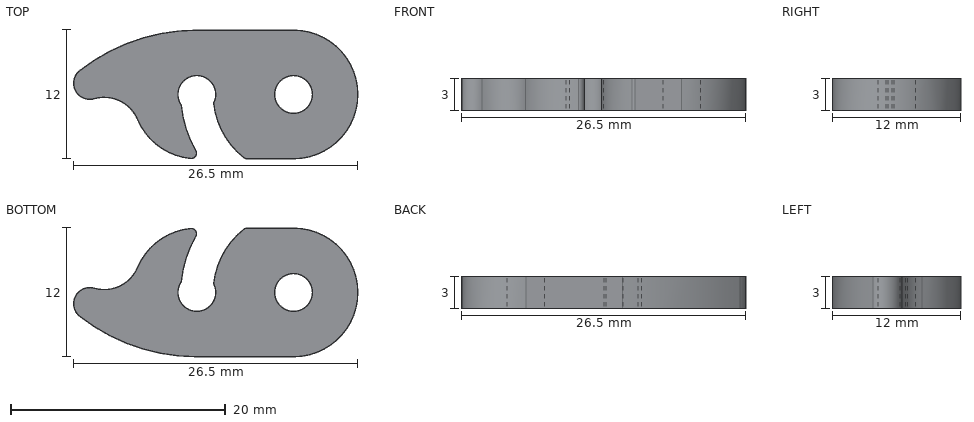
import cadquery as cq
import math

length = 26.5
thickness = 3.0
width = 12.0
end_radius = width / 2
hole_radius = 1.75
seat_distance = 9.0
slot_inner_radius = 7.5
slot_outer_radius = 10.5
back_radius = 17.68
beak_tip_radius = 1.5
throat_radius = 3.37
corner_radius = 0.5


def circle_meeting(center_a, radius_a, center_b, radius_b, side):
    """Meeting point of two circles; side +1 is left of the line from a to b, -1 is right."""
    dx = center_b[0] - center_a[0]
    dy = center_b[1] - center_a[1]
    gap = math.hypot(dx, dy)
    along = (radius_a**2 - radius_b**2 + gap**2) / (2 * gap)
    across = side * math.sqrt(radius_a**2 - along**2)
    return (
        center_a[0] + (along * dx - across * dy) / gap,
        center_a[1] + (along * dy + across * dx) / gap,
    )


def toward(center, target, radius):
    """Point on a circle about center, in the direction of target."""
    dx = target[0] - center[0]
    dy = target[1] - center[1]
    scale = radius / math.hypot(dx, dy)
    return (center[0] + dx * scale, center[1] + dy * scale)


def arc_middle(center, start, end):
    """Middle of the shorter arc about center from start to end."""
    chord_middle = ((start[0] + end[0]) / 2, (start[1] + end[1]) / 2)
    return toward(center, chord_middle, math.dist(center, start))


pivot = (0.0, 0.0)
seat = (-seat_distance, 0.0)
back = (-seat_distance, end_radius - back_radius)
beak_tip_x = end_radius - length + beak_tip_radius
beak_tip_rise = math.sqrt((back_radius - beak_tip_radius)**2 - (beak_tip_x - back[0])**2)
beak_tip = (beak_tip_x, back[1] + beak_tip_rise)
throat = circle_meeting(
    beak_tip, beak_tip_radius + throat_radius, seat, end_radius + throat_radius, -1
)
fang_tip = circle_meeting(
    pivot, slot_outer_radius + corner_radius, seat, end_radius - corner_radius, 1
)
mouth_y = corner_radius - end_radius
mouth_corner = (-math.sqrt((slot_inner_radius - corner_radius)**2 - mouth_y**2), mouth_y)

back_start = (-seat_distance, end_radius)
back_end = toward(back, beak_tip, back_radius)
throat_start = toward(throat, beak_tip, throat_radius)
throat_end = toward(throat, seat, throat_radius)
fang_start = toward(seat, fang_tip, end_radius)
fang_end = toward(pivot, fang_tip, slot_outer_radius)
seat_left = circle_meeting(pivot, slot_outer_radius, seat, hole_radius, 1)
seat_right = circle_meeting(pivot, slot_inner_radius, seat, hole_radius, 1)
mouth_start = toward(pivot, mouth_corner, slot_inner_radius)
mouth_end = (mouth_corner[0], -end_radius)

fang_tip_middle = arc_middle(fang_tip, fang_start, fang_end)

outline = (
    cq.Workplane("XY")
    .moveTo(0, end_radius)
    .lineTo(*back_start)
    .threePointArc(arc_middle(back, back_start, back_end), back_end)
    .threePointArc(arc_middle(beak_tip, back_end, throat_start), throat_start)
    .threePointArc(arc_middle(throat, throat_start, throat_end), throat_end)
    .threePointArc(arc_middle(seat, throat_end, fang_start), fang_start)
    .threePointArc(fang_tip_middle, fang_end)
    .threePointArc(arc_middle(pivot, fang_end, seat_left), seat_left)
    .threePointArc((-seat_distance, hole_radius), seat_right)
    .threePointArc(arc_middle(pivot, seat_right, mouth_start), mouth_start)
    .threePointArc(arc_middle(mouth_corner, mouth_start, mouth_end), mouth_end)
    .lineTo(0, -end_radius)
    .threePointArc((end_radius, 0), (0, end_radius))
    .close()
)

plate = outline.extrude(thickness)
pivot_hole = cq.Workplane("XY").circle(hole_radius).extrude(thickness)
result = plate.cut(pivot_hole)